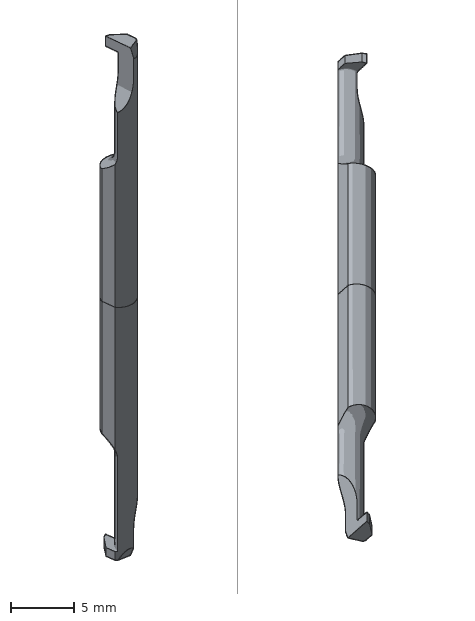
import cadquery as cq
import math


shank_radius = 1.5
flat_distance = 1.35
half_length = 25.0

neck_radius = 1.3
neck_left_x = -0.06
neck_axis_x = neck_left_x + neck_radius
neck_start_z = 14.85
shoulder_radius = 2.1

hook_tip_x = -1.34
hook_thickness = 1.0
hook_fillet_radius = 0.1
end_relief_angle = 3.0
underside_relief_angle = 3.0
end_tilt_angle = 1.0
tip_relief_angle = 20.0
tip_relief_depth_y = 0.38
side_relief_angle = 45.0
back_chamfer_width = 0.33
back_chamfer_angle = 20.0
back_chamfer_relief_angle = 15.0

rake_face_start_z = 22.25
runout_radius = 4.5

clearance = 1.0


def make_shank_blank():
    """Round bar, as long as a half bar, with its two flats."""
    rod = cq.Workplane("XY").circle(shank_radius).extrude(half_length)
    flats = cq.Workplane("XY").box(
        2 * shank_radius, 2 * flat_distance, half_length, centered=(True, True, False)
    )
    return rod.intersect(flats)


def make_neck_envelope():
    """Solid turned about the neck axis: wide at the shank, then a concave shoulder and the neck."""
    neck_end_z = half_length - hook_thickness / 2
    outer_radius = neck_axis_x + shank_radius + clearance / 2
    radial_offset = neck_radius + shoulder_radius - outer_radius
    shoulder_end_z = neck_start_z - math.sqrt(shoulder_radius**2 - radial_offset**2)
    arc_angle = math.acos(radial_offset / shoulder_radius) / 2
    arc_middle = (
        neck_radius + shoulder_radius * (1 - math.cos(arc_angle)),
        neck_start_z - shoulder_radius * math.sin(arc_angle),
    )
    return (
        cq.Workplane("XZ")
        .lineTo(outer_radius, 0)
        .lineTo(outer_radius, shoulder_end_z)
        .threePointArc(arc_middle, (neck_radius, neck_start_z))
        .lineTo(neck_radius, neck_end_z)
        .lineTo(0, neck_end_z)
        .close()
        .revolve(360, (0, 0), (0, 1))
        .translate((neck_axis_x, 0, 0))
    )


def make_hook(blank):
    """Hook at the tip, relieved behind its cutting edges on the end, the underside and the -X side."""
    underside_z = half_length - hook_thickness
    underside_rise = flat_distance * math.tan(math.radians(underside_relief_angle))
    end_drop = flat_distance * math.tan(math.radians(end_relief_angle))
    slab = (
        cq.Workplane("YZ")
        .polyline([
            (0, underside_z),
            (flat_distance, underside_z + underside_rise),
            (flat_distance, half_length - end_drop),
            (0, half_length),
        ])
        .close()
        .extrude(shank_radius + clearance, both=True)
        .rotate((hook_tip_x, 0, half_length), (hook_tip_x, 1, half_length), end_tilt_angle)
    )
    tip_relief_end_x = hook_tip_x + tip_relief_depth_y * math.tan(math.radians(tip_relief_angle))
    side_relief_depth = flat_distance - tip_relief_depth_y
    side_relief_end_x = tip_relief_end_x + side_relief_depth / math.tan(math.radians(side_relief_angle))
    plan = (
        cq.Workplane("XY")
        .polyline([
            (hook_tip_x, 0),
            (tip_relief_end_x, tip_relief_depth_y),
            (side_relief_end_x, flat_distance),
            (shank_radius, flat_distance),
            (shank_radius, 0),
        ])
        .close()
        .extrude(half_length)
    )
    return blank.intersect(slab).intersect(plan)


def make_rake_cut():
    """Material in front of y = 0 on the head, ending in a concave run-out arc."""
    depth = shank_radius
    runout_length = math.sqrt(runout_radius**2 - (runout_radius - depth) ** 2)
    arc_angle = math.acos((runout_radius - depth) / runout_radius) / 2
    arc_middle = (
        -runout_radius * (1 - math.cos(arc_angle)),
        rake_face_start_z - runout_radius * math.sin(arc_angle),
    )
    return (
        cq.Workplane("YZ")
        .moveTo(0, half_length + clearance)
        .lineTo(0, rake_face_start_z)
        .threePointArc(arc_middle, (-depth, rake_face_start_z - runout_length))
        .lineTo(-depth, half_length + clearance)
        .close()
        .extrude(shank_radius + clearance, both=True)
    )


def make_back_chamfer_cut():
    """Block that bevels the +X edge of the tip, turned about the bevel's front edge to relieve it."""
    bevel_start = cq.Vector(shank_radius - back_chamfer_width, 0, half_length)
    bevel_height = back_chamfer_width / math.tan(math.radians(back_chamfer_angle))
    bevel_end = cq.Vector(shank_radius, 0, half_length - bevel_height)
    block_size = 4 * shank_radius
    return (
        cq.Workplane("XY")
        .box(block_size, block_size, block_size, centered=(False, True, True))
        .rotate((0, 0, 0), (0, 1, 0), -back_chamfer_angle)
        .translate(bevel_start)
        .rotate(bevel_start.toTuple(), bevel_end.toTuple(), -back_chamfer_relief_angle)
    )


def make_half_bar():
    """One half bar standing on z = 0 with its head at the top."""
    blank = make_shank_blank()
    body = blank.intersect(make_neck_envelope())
    body = body.union(make_hook(blank))
    body = body.cut(make_rake_cut())
    body = body.cut(make_back_chamfer_cut())
    corner_offset = neck_radius * math.sqrt(0.5)
    corner_point = (neck_axis_x - corner_offset, corner_offset, half_length - hook_thickness)
    corner_edge = cq.selectors.NearestToPointSelector(corner_point)
    return body.edges(corner_edge).fillet(hook_fillet_radius)


half_bars = []
for turn_angle in (0, 180):
    half_bar = make_half_bar().rotate((0, 0, 0), (1, 0, 0), turn_angle)
    half_bars.append(half_bar.val())

result = cq.Compound.makeCompound(half_bars)